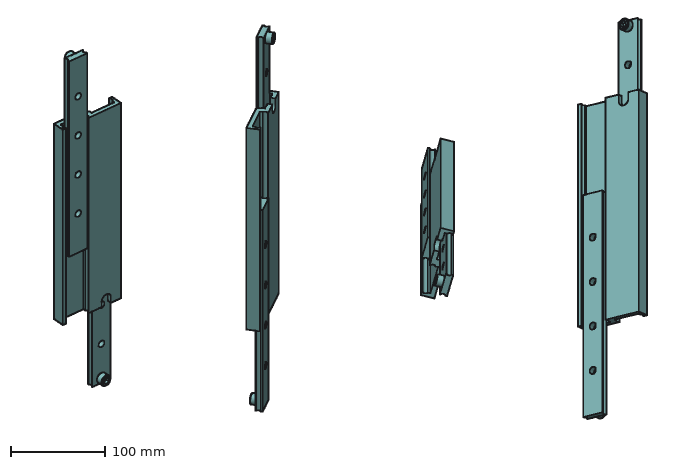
import cadquery as cq
import math

HOUSING_THICKNESS = 15.0
HOUSING_WIDTH = 80.0
HOUSING_BOTTOM = 104.0

TOTAL_HEIGHT = 439.0
RAIL_LENGTH = 250.0
RAIL_THICKNESS = 8.0
RAIL_WIDTH = 25.0
RAIL_OVERHANG = 1.1
RAIL_OFFSET = 19.7

CHANNEL_DEPTH = 9.0
SIDE_GAP = 3.0
BALL_RADIUS = 3.0
RACE_INSET = 3.5

HOLE_DIAMETER = 8.0
HOLE_PITCH = 50.0
HOLE_COUNT = 4
STUD_DIAMETER = 12.7
STUD_END_DISTANCE = 6.5
STUD_CHAMFER = 1.0
SOCKET_FLATS = 6.5
SOCKET_DEPTH = 4.5

NOTCH_WIDTH = 12.7
NOTCH_DEPTH = 13.5

FACE_X = -HOUSING_THICKNESS / 2
RAIL_OUTER_X = FACE_X - RAIL_OVERHANG
RAIL_INNER_X = RAIL_OUTER_X + RAIL_THICKNESS
RACE_X = FACE_X + RACE_INSET
RACE_SPACING = RAIL_WIDTH + SIDE_GAP
STUD_LENGTH = -FACE_X - RAIL_INNER_X
HOUSING_TOP = HOUSING_BOTTOM + RAIL_LENGTH


def box(x_min, x_max, y_center, y_size, z_min, z_max):
    """Upright box given by its X and Z limits and its place and size in Y."""
    size = (x_max - x_min, y_size, z_max - z_min)
    corner = (x_min, y_center - y_size / 2, z_min)
    return cq.Workplane("XY").box(*size, centered=False).translate(corner)


def x_cylinder(x_start, length, diameter, z):
    """Cylinder along +X on the rail's centre plane."""
    plane = cq.Workplane("YZ", origin=(x_start, RAIL_OFFSET, z))
    return plane.circle(diameter / 2).extrude(length)


def ball_races(z_min, length):
    """The two vertical ball tracks, shared by a rail and its channel."""
    plane = cq.Workplane("XY", origin=(RACE_X, RAIL_OFFSET, z_min))
    return plane.rarray(4.5, RACE_SPACING, 1, 2).circle(BALL_RADIUS).extrude(length)


def to_other_side(body, center_z):
    """Reflect a body through the point on the Z axis at the given height."""
    half_turned = body.rotate((0, 0, center_z), (1, 0, center_z), 180)
    return half_turned.mirror("YZ")


def make_stud():
    """Round stop stud with a chamfered tip and a hexagon socket."""
    stud = x_cylinder(RAIL_INNER_X, STUD_LENGTH, STUD_DIAMETER, STUD_END_DISTANCE)
    stud = stud.faces(">X").chamfer(STUD_CHAMFER)
    tip_plane = cq.Workplane("YZ", origin=(-FACE_X, RAIL_OFFSET, STUD_END_DISTANCE))
    socket_corners = SOCKET_FLATS / math.cos(math.pi / 6)
    socket = tip_plane.transformed(rotate=(0, 0, 90)).polygon(6, socket_corners).extrude(-SOCKET_DEPTH)
    return stud.cut(socket)


def make_rail():
    rail = box(RAIL_OUTER_X, RAIL_INNER_X, RAIL_OFFSET, RAIL_WIDTH, 0, RAIL_LENGTH)
    rail = rail.cut(ball_races(0, RAIL_LENGTH))
    for index in range(HOLE_COUNT):
        hole_z = (index + 1) * HOLE_PITCH
        rail = rail.cut(x_cylinder(RAIL_OUTER_X, RAIL_THICKNESS, HOLE_DIAMETER, hole_z))
    return rail.union(make_stud())


def channel_cut():
    """Channel, ball races and stud notch that the housing needs for one rail."""
    channel_width = RAIL_WIDTH + 2 * SIDE_GAP
    channel = box(FACE_X, FACE_X + CHANNEL_DEPTH, RAIL_OFFSET, channel_width, HOUSING_BOTTOM, HOUSING_TOP)
    notch_end = HOUSING_BOTTOM + NOTCH_DEPTH - NOTCH_WIDTH / 2
    notch = box(FACE_X, -FACE_X, RAIL_OFFSET, NOTCH_WIDTH, HOUSING_BOTTOM, notch_end)
    notch_round = x_cylinder(FACE_X, HOUSING_THICKNESS, NOTCH_WIDTH, notch_end)
    return channel.union(ball_races(HOUSING_BOTTOM, RAIL_LENGTH)).union(notch).union(notch_round)


def make_housing():
    plate = box(FACE_X, -FACE_X, 0, HOUSING_WIDTH, HOUSING_BOTTOM, HOUSING_TOP)
    lower_cut = channel_cut()
    upper_cut = to_other_side(lower_cut, (HOUSING_BOTTOM + HOUSING_TOP) / 2)
    return plate.cut(lower_cut).cut(upper_cut)


housing = make_housing()
lower_rail = make_rail()
upper_rail = to_other_side(lower_rail, TOTAL_HEIGHT / 2)

result = cq.Compound.makeCompound([housing.val(), lower_rail.val(), upper_rail.val()])